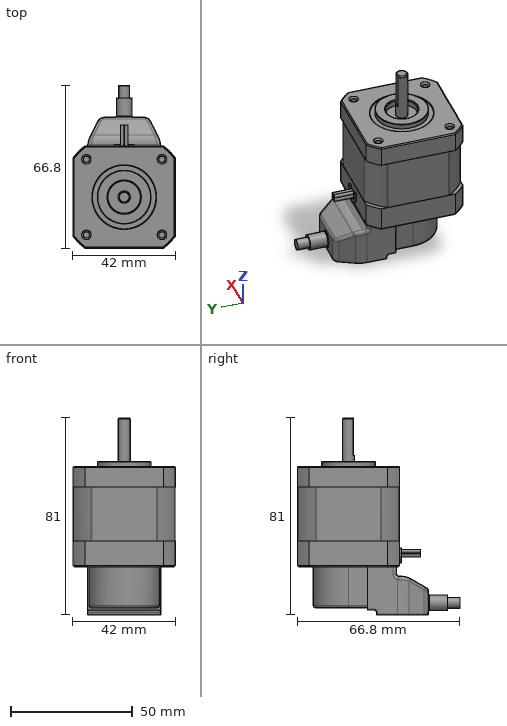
import cadquery as cq
import math

TOTAL_HEIGHT = 81.0
TOTAL_DEPTH = 66.8
MOTOR_BOTTOM = 19.8
LOWER_CAP_TOP = 30.45
UPPER_CAP_BOTTOM = 52.5
MOTOR_TOP = 61.1
PILOT_HEIGHT = 1.95
PILOT_TOP = MOTOR_TOP + PILOT_HEIGHT

CAP_SIDE = 42.0
CAP_HALF = CAP_SIDE / 2
CAP_CORNER_RADIUS = 26.5
TOP_CHAMFER = 0.5
BOTTOM_CHAMFER = 0.65
STATOR_SIDE = 41.9
STATOR_CORNER_RADIUS = 24.9
STATOR_EDGE_FILLET = 0.8

SCREW_SPACING = 31.0
SCREW_DIAMETER = 2.5
SCREW_DEPTH = 4.5
COUNTERSINK_DIAMETER = 3.9
COUNTERSINK_ANGLE = 90
PILOT_RADIUS = 11.0
PILOT_CHAMFER = 0.2
GROOVE_RADIUS = 13.05
GROOVE_DEPTH = 0.25
BORE_RADIUS = 6.65
BORE_DEPTH = 2.8
BORE_CHAMFER = 0.4

SHAFT_RADIUS = 2.5
SHAFT_CHAMFER = 0.5
FLAT_OFFSET = 2.0
FLAT_BOTTOM = 65.6

HOUSING_RADIUS = 14.5
HOUSING_BOTTOM = 3.0
HOUSING_FILLET = 1.0

COVER_HALF_WIDTH = 15.1
COVER_FRONT = 7.8
COVER_END = 32.8
TAPER_START = 22.7
TAPER_ANGLE = 26.5
TAPER_BLEND = 10.5
END_CORNER_RADIUS = 3.15
NECK_BACK = 19.8
SHOULDER_Z = 15.95
SLOPE_START = 23.7
SLOPE_ANGLE = 30.0
SLOPE_BLEND = 7.9
END_BLEND = 1.6
INNER_CORNER_BLEND = 1.0
STEP_Y = 11.5
STEP_Z = 2.0
COVER_EDGE_FILLET = 1.45
COVER_BOTTOM_FILLET = 0.5

CABLE_Z = 5.0
COLLAR_RADIUS = 3.2
COLLAR_END = 40.7
COLLAR_FLARE = 0.4
CABLE_RADIUS = 2.3
CABLE_END = TOTAL_DEPTH - CAP_HALF

WIRE_Z = 25.35
WIRE_RADIUS = 0.7
WIRE_SPACING = 1.7
WIRE_OFFSET = WIRE_SPACING / 2
WIRE_END = 29.65
GROMMET_OUTER_RADIUS = 4.05
GROMMET_INNER_RADIUS = 2.35
GROMMET_TOP = 27.5
GROMMET_THICKNESS = 0.65


def cylinder(radius, bottom, top):
    """Vertical cylinder on the motor axis."""
    return cq.Workplane("XY").workplane(offset=bottom).circle(radius).extrude(top - bottom)


def flared_hole(radius, depth, bottom):
    """Cutter that widens upward at 45 degrees over its depth."""
    return (
        cq.Workplane("XY").workplane(offset=bottom).circle(radius)
        .workplane(offset=depth).circle(radius + depth).loft()
    )


def rod_along_y(radius, x, z, start, end):
    """Cylinder running toward +Y from start to end."""
    return cq.Workplane("XZ", origin=(x, start, z)).circle(radius).extrude(start - end)


def rounded_square(side, corner_radius, bottom, top):
    """Square block trimmed to a circle at its corners."""
    block = cq.Workplane("XY").workplane(offset=bottom).rect(side, side).extrude(top - bottom)
    return block.intersect(cylinder(corner_radius, bottom, top))


def make_motor():
    """Lower end cap, stator and upper end cap with its four screw holes."""
    lower_cap = rounded_square(CAP_SIDE, CAP_CORNER_RADIUS, MOTOR_BOTTOM, LOWER_CAP_TOP)
    lower_cap = lower_cap.faces("<Z").chamfer(BOTTOM_CHAMFER)
    stator = rounded_square(STATOR_SIDE, STATOR_CORNER_RADIUS, LOWER_CAP_TOP, UPPER_CAP_BOTTOM)
    stator = stator.edges("|Z").fillet(STATOR_EDGE_FILLET)
    upper_cap = rounded_square(CAP_SIDE, CAP_CORNER_RADIUS, UPPER_CAP_BOTTOM, MOTOR_TOP)
    upper_cap = upper_cap.faces(">Z").chamfer(TOP_CHAMFER)
    upper_cap = (
        upper_cap.faces(">Z").workplane(origin=(0, 0, MOTOR_TOP))
        .rect(SCREW_SPACING, SCREW_SPACING, forConstruction=True).vertices()
        .cskHole(SCREW_DIAMETER, COUNTERSINK_DIAMETER, COUNTERSINK_ANGLE, SCREW_DEPTH)
    )
    return lower_cap.union(stator).union(upper_cap)


def add_pilot(body):
    """Raised pilot ring with a shallow chamfered groove around it and a bore inside it."""
    groove_floor = MOTOR_TOP - GROOVE_DEPTH
    groove = flared_hole(GROOVE_RADIUS, GROOVE_DEPTH, groove_floor)
    pilot = cylinder(PILOT_RADIUS, groove_floor, PILOT_TOP).faces(">Z").chamfer(PILOT_CHAMFER)
    bore = cylinder(BORE_RADIUS, PILOT_TOP - BORE_DEPTH, PILOT_TOP)
    bore_mouth = flared_hole(BORE_RADIUS, BORE_CHAMFER, PILOT_TOP - BORE_CHAMFER)
    return body.cut(groove).union(pilot).cut(bore).cut(bore_mouth)


def make_shaft():
    """Shaft standing on the bore floor, flattened on one side over its upper length."""
    shaft = cylinder(SHAFT_RADIUS, PILOT_TOP - BORE_DEPTH, TOTAL_HEIGHT)
    shaft = shaft.faces(">Z").chamfer(SHAFT_CHAMFER)
    flat_height = TOTAL_HEIGHT - FLAT_BOTTOM
    flat = cq.Workplane("XY").box(
        2 * SHAFT_RADIUS, SHAFT_RADIUS, flat_height, centered=(True, False, False)
    )
    return shaft.cut(flat.translate((0, FLAT_OFFSET, FLAT_BOTTOM)))


def make_housing():
    """Round toward -Y, straight-sided where it runs back into the cover."""
    return (
        cq.Workplane("XY").workplane(offset=HOUSING_BOTTOM)
        .moveTo(HOUSING_RADIUS, COVER_FRONT)
        .lineTo(HOUSING_RADIUS, 0)
        .threePointArc((0, -HOUSING_RADIUS), (-HOUSING_RADIUS, 0))
        .lineTo(-HOUSING_RADIUS, COVER_FRONT)
        .close().extrude(MOTOR_BOTTOM - HOUSING_BOTTOM)
        .faces("<Z").edges("not >Y").fillet(HOUSING_FILLET)
    )


def make_cover():
    """Tapered plan outline trimmed by the sloping side profile, with its edges rounded."""
    end_half_width = COVER_HALF_WIDTH - (COVER_END - TAPER_START) * math.tan(math.radians(TAPER_ANGLE))
    plan = (
        cq.Workplane("XY")
        .moveTo(COVER_HALF_WIDTH, COVER_FRONT)
        .lineTo(COVER_HALF_WIDTH, TAPER_START)
        .lineTo(end_half_width, COVER_END)
        .lineTo(-end_half_width, COVER_END)
        .lineTo(-COVER_HALF_WIDTH, TAPER_START)
        .lineTo(-COVER_HALF_WIDTH, COVER_FRONT)
        .close().extrude(MOTOR_BOTTOM)
    )
    plan = plan.edges("|Z and >Y").fillet(END_CORNER_RADIUS)
    plan = plan.edges("|Z and (>X or <X)").edges(">Y").fillet(TAPER_BLEND)

    slope_end_z = SHOULDER_Z - (COVER_END - SLOPE_START) * math.tan(math.radians(SLOPE_ANGLE))

    def near(y, z):
        return cq.selectors.NearestToPointSelector((0, y, z))

    def on_both_sides(y, z):
        left = cq.selectors.NearestToPointSelector((-COVER_HALF_WIDTH, y, z))
        return left + cq.selectors.NearestToPointSelector((COVER_HALF_WIDTH, y, z))

    profile = (
        cq.Workplane("YZ")
        .moveTo(COVER_FRONT, STEP_Z)
        .lineTo(STEP_Y, STEP_Z)
        .lineTo(STEP_Y, 0)
        .lineTo(COVER_END, 0)
        .lineTo(COVER_END, slope_end_z)
        .lineTo(SLOPE_START, SHOULDER_Z)
        .lineTo(NECK_BACK, SHOULDER_Z)
        .lineTo(NECK_BACK, MOTOR_BOTTOM)
        .lineTo(COVER_FRONT, MOTOR_BOTTOM)
        .close().extrude(COVER_HALF_WIDTH, both=True)
    )
    profile = profile.edges("|X").edges(near(STEP_Y, STEP_Z)).fillet(INNER_CORNER_BLEND)
    profile = profile.edges("|X").edges(near(NECK_BACK, SHOULDER_Z)).fillet(INNER_CORNER_BLEND)
    profile = profile.edges("|X").edges(near(SLOPE_START, SHOULDER_Z)).fillet(SLOPE_BLEND)
    profile = profile.edges("|X").edges(near(COVER_END, slope_end_z)).fillet(END_BLEND)
    cover = plan.intersect(profile)

    top_edges = cover.edges("|Z and (>X or <X)").edges(on_both_sides(NECK_BACK, MOTOR_BOTTOM))
    cover = top_edges.fillet(COVER_EDGE_FILLET)
    bottom_edges = cover.faces("<Z").edges()
    step_edges = cover.edges(on_both_sides(STEP_Y, STEP_Z))
    return bottom_edges.add(step_edges).fillet(COVER_BOTTOM_FILLET)


def make_cable():
    """Stepped cable leaving the cover through a collar that flares at its root."""
    collar = rod_along_y(COLLAR_RADIUS, 0, CABLE_Z, COVER_END, COLLAR_END)
    cable = rod_along_y(CABLE_RADIUS, 0, CABLE_Z, COLLAR_END, CABLE_END)
    flare_end = COVER_END + COLLAR_FLARE
    flare = (
        cq.Workplane("XZ", origin=(0, flare_end, CABLE_Z)).circle(COLLAR_RADIUS)
        .workplane(offset=COLLAR_FLARE).circle(COLLAR_RADIUS + COLLAR_FLARE).loft()
    )
    return collar.union(cable).union(flare)


def make_grommet():
    """U-shaped plate around the wires, open at the top."""
    def u_shape(radius):
        top = GROMMET_TOP - WIRE_Z
        return (
            cq.Workplane("XZ", origin=(0, CAP_HALF, WIRE_Z))
            .moveTo(-radius, top).lineTo(-radius, 0)
            .threePointArc((0, -radius), (radius, 0))
            .lineTo(radius, top).close().extrude(-GROMMET_THICKNESS)
        )

    return u_shape(GROMMET_OUTER_RADIUS).cut(u_shape(GROMMET_INNER_RADIUS))


def make_wires():
    """Two rows of two lead wires."""
    wires = cq.Workplane("XY")
    for x in (-WIRE_OFFSET, WIRE_OFFSET):
        for z in (WIRE_Z - WIRE_OFFSET, WIRE_Z + WIRE_OFFSET):
            wires = wires.add(rod_along_y(WIRE_RADIUS, x, z, CAP_HALF, WIRE_END))
    return wires.combine()


result = add_pilot(make_motor())
for piece in (make_shaft(), make_housing(), make_cover(), make_cable(), make_grommet(), make_wires()):
    result = result.union(piece)